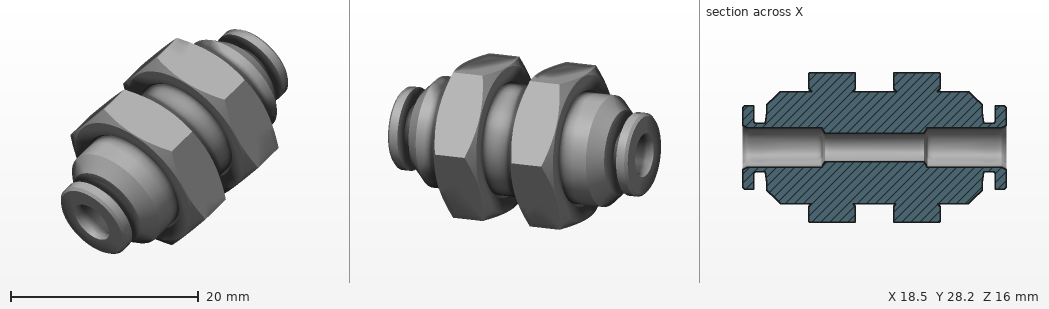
import cadquery as cq
import math

total_length = 28.2
half_length = total_length / 2

body_radius = 6.0
body_end_radius = 4.6
body_end_setback = 2.6
body_cone_length = 1.5
end_cone_radius = 3.8
end_cone_rise = 0.17

collar_radius = 4.498
collar_thickness = 1.25
collar_chamfer = 0.28
neck_radius = 2.6
neck_chamfer = 0.15

mouth_radius = 2.37
tube_radius = 2.1
passage_radius = 1.5
mouth_depth = 0.54
stop_depth = 8.45
stop_cone_length = (tube_radius - passage_radius) * math.tan(math.pi / 6)

across_flats = 16.0
across_corners = across_flats / math.cos(math.pi / 6)
nut_thickness = 5.02
nut_inner_offset = 2.0
nut_face_radius = 7.9
nut_chamfer_angle = 30.0
nut_hole_radius = 6.3
nut_countersink = nut_hole_radius - body_radius


def revolve_both_halves(half_profile):
    """Revolve a (radius, y) profile starting at y = 0, mirrored to -Y, about Y."""
    other_half = [(radius, -y) for radius, y in reversed(half_profile)]
    outline = [(0, -half_profile[-1][1])] + other_half + half_profile + [(0, half_profile[-1][1])]
    return cq.Workplane("XY").polyline(outline).close().revolve(360, (0, 0), (0, 1))


def make_body():
    """Body with coned ends, necks and flanged release collars."""
    body_end = half_length - body_end_setback
    collar_start = half_length - collar_thickness
    return revolve_both_halves([
        (body_radius, body_end - body_cone_length),
        (body_end_radius, body_end),
        (end_cone_radius, body_end),
        (neck_radius, body_end + end_cone_rise),
        (neck_radius, collar_start - neck_chamfer),
        (neck_radius + neck_chamfer, collar_start),
        (collar_radius, collar_start),
        (collar_radius, half_length - collar_chamfer),
        (collar_radius - collar_chamfer, half_length),
    ])


def make_bore():
    """Tube sockets with tapered mouths, joined by a narrower passage."""
    stop = half_length - stop_depth
    return revolve_both_halves([
        (passage_radius, stop - stop_cone_length),
        (tube_radius, stop),
        (tube_radius, half_length - mouth_depth),
        (mouth_radius, half_length),
    ])


def make_nut():
    """Hexagonal nut centred on the origin, chamfered and countersunk at both faces."""
    half_thickness = nut_thickness / 2
    corner_radius = across_corners / 2
    corner_drop = (corner_radius - nut_face_radius) * math.tan(math.radians(nut_chamfer_angle))
    hexagon = (
        cq.Workplane("XZ")
        .polygon(6, across_corners)
        .extrude(half_thickness, both=True)
    )
    chamfer_envelope = revolve_both_halves([
        (corner_radius, half_thickness - corner_drop),
        (nut_face_radius, half_thickness),
    ])
    hole = revolve_both_halves([
        (body_radius, half_thickness - nut_countersink),
        (nut_hole_radius, half_thickness),
    ])
    return hexagon.intersect(chamfer_envelope).cut(hole)


result = make_body()
nut_offset = nut_inner_offset + nut_thickness / 2
for side in (-1, 1):
    result = result.union(make_nut().translate((0, side * nut_offset, 0)))
result = result.cut(make_bore())